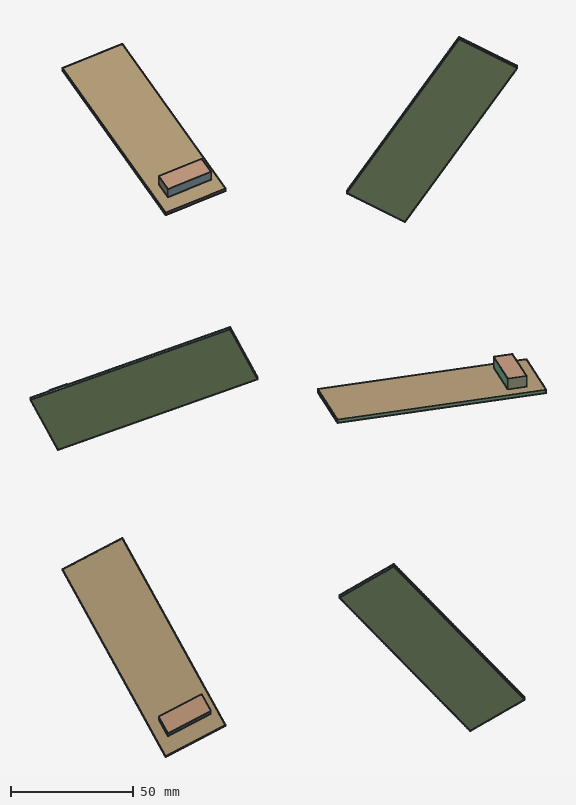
import cadquery as cq

plate_length = 89.2
plate_width = 27.8
plate_thickness = 1.6

block_length = 8.0
block_width = 20.0
block_height = 5.0
block_end_margin = 7.0
block_side_margin = 3.0

block_x = plate_length - block_end_margin - block_length
block_y = plate_width - block_side_margin - block_width

plate = cq.Workplane("XY").box(plate_length, plate_width, plate_thickness, centered=False)

block = (
    cq.Workplane("XY")
    .box(block_length, block_width, block_height, centered=False)
    .translate((block_x, block_y, plate_thickness))
)

result = plate.union(block)